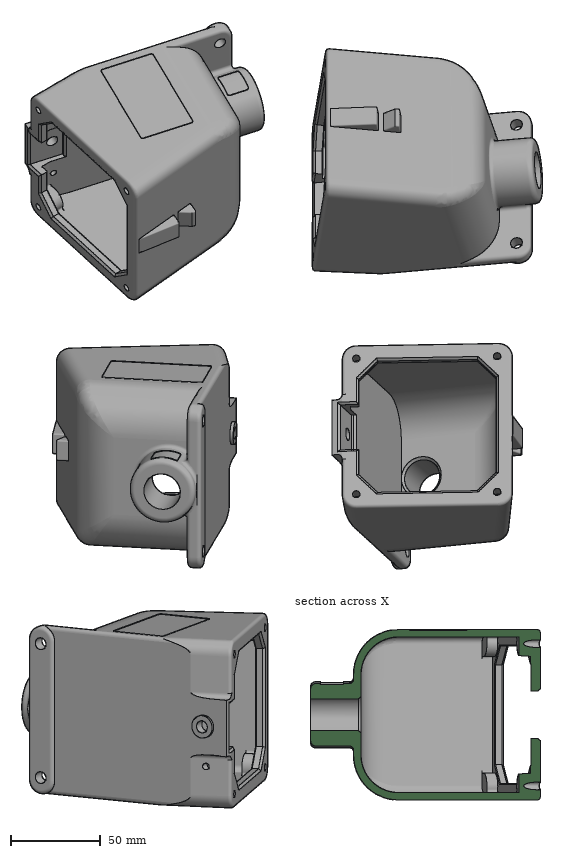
import cadquery as cq
import math


HEIGHT = 95.2
HALF = HEIGHT / 2
TILT = 15
LEAN = 20
BACK_Y = 106.3
FRONT_X = 6.0
ROLL_RADIUS = 25.1
CORNER_RADIUS = 8.0
FRONT_ROUND = 1.8
WALL = 4.3
CAVITY_X = 7.3
BELOW = -13
FAR = 260.6

PLATE_THICK = 6.3
PLATE_START_Y = 6.5
PLATE_END_Y = 123.9
PLATE_ROUND = 2.2
PAD_RAISE = 1.8
PAD_WIDTH = 2 * CORNER_RADIUS
PAD_Y = PLATE_END_Y - CORNER_RADIUS
MOUNT_HOLE_D = 6.6
MOUNT_HOLE_Z = 38.0

COLLAR_X = 19.0
COLLAR_RADIUS = 18.5
COLLAR_END_Y = 130.3
COLLAR_ROUND = 3.0
COLLAR_FOOT = 2.1
PLATE_CORE_HALF = 26
BORE_RADIUS = 10.3
BORE_CHAMFER = 1.4

LIP_THICK = 5.5
LIP_FLARE = 0.5
OPENING_CUT = 10.5
OPENING_CHAMFER = 1.3
OPENING_SIZE = HEIGHT - 2 * CORNER_RADIUS - 2 * OPENING_CHAMFER
SCREW_PITCH = 78.7
SCREW_SPREAD = HEIGHT - 2 * CORNER_RADIUS
SCREW_D = 4.0
SCREW_DEPTH = 10.4
POST_RADIUS = 7.3
POST_END = 11.7
POST_ROOT_FILLET = 1.3

TAB_HALF = 16.0
TAB_FILLET = 2.9
NOTCH_X = 4.5
NOTCH_HALF = 13.2
NOTCH_DEPTH = 20.8
NOTCH_STEP = 1.3
TAB_HOLE_Y = 14.5
TAB_HOLE_D = 6.8
TAB_BOSS_RADIUS = 6.4
DRAIN_D = 3.6
DRAIN_Y = 14.1
DRAIN_Z = -23.2

CATCH_HALF = 5.9
CATCH_TIP_ROUND = 1.2
CATCH_EDGE_ROUND = 0.8
HOOK_OUTLINE = [(82.1, 64.1), (90.8, 64.6), (90.7, 62.0), (87.2, 55.0), (83.4, 55.0)]
LATCH_OUTLINE = [(86, 52.1), (95.0, 52.6), (97.5, 26.7), (93.8, 26.7)]

PANEL_DEPTH = 0.4
PANEL_CORNER = 1.3
LABEL_X = 34.7
LABEL_Y = 59.0
LABEL_WIDTH = 57.1
LABEL_LENGTH = 31.7
BADGE_Y = 118.3
BADGE_WIDTH = 15.1
BADGE_LENGTH = 12.9

TINY = 0.01
UNION_TOLERANCE = 1e-4

sin_tilt = math.sin(math.radians(TILT))
cos_tilt = math.cos(math.radians(TILT))
cos_lean = math.cos(math.radians(LEAN))
tan_lean = math.tan(math.radians(LEAN))
side_x = FRONT_X + HEIGHT * cos_tilt
side_y = HEIGHT * sin_tilt
tab_root_y = FRONT_X * cos_tilt / sin_tilt

front_plane = cq.Plane(
    origin=(FRONT_X, 0, 0), xDir=(cos_tilt, sin_tilt, 0), normal=(sin_tilt, -cos_tilt, 0)
)
along_front_normal = cq.selectors.ParallelDirSelector(front_plane.zDir)


def nearest(x, y, z):
    return cq.selectors.NearestToPointSelector((x, y, z))


def box(x0, x1, y0, y1, half_z):
    """Block that is symmetric about Z = 0."""
    block = cq.Workplane("XY").box(x1 - x0, y1 - y0, 2 * half_z, centered=False)
    return block.translate((x0, y0, -half_z))


def cylinder_along_x(y, z, radius, x0, x1):
    return cq.Workplane("YZ", origin=(x0, y, z)).circle(radius).extrude(x1 - x0)


def collar_cylinder(radius, y0, y1):
    return cq.Workplane("XZ", origin=(COLLAR_X, y0, 0)).circle(radius).extrude(y0 - y1)


def side_line_x(y, inset):
    """X of the sloping side at a given Y, set in by a distance square to it."""
    return side_x - (y - side_y) * tan_lean - inset / cos_lean


def rolled_block(start_x, inset):
    """Housing block set in from the outer faces, with large rounds at the back and rounded long edges."""
    back = BACK_Y - inset
    half = HALF - inset
    plan = (
        cq.Workplane("XY", origin=(0, 0, -half))
        .polyline([
            (start_x, BELOW),
            (side_line_x(BELOW, inset), BELOW),
            (side_line_x(back, inset), back),
            (start_x, back),
        ])
        .close()
        .extrude(2 * half)
        .edges(">Y and |Z and (not <X)").fillet(ROLL_RADIUS - inset)
    )
    profile = box(-FAR, FAR, BELOW, back, half).edges(">Y and |X").fillet(ROLL_RADIUS - inset)
    block = plan.intersect(profile)
    for z in (-half, half):
        block = block.edges(nearest(side_line_x(0, inset), 0, z)).fillet(CORNER_RADIUS - inset)
    return block


def tilted_block(depth, inset):
    """Everything behind the front face and inside the tilted face, whose long edges are rounded."""
    return (
        cq.Workplane(front_plane).workplane(offset=-depth)
        .center(inset + FAR / 2, 0)
        .rect(FAR, 2 * (HALF - inset))
        .extrude(-FAR)
        .edges(along_front_normal).fillet(CORNER_RADIUS - inset)
    )


def mounting_plate():
    return (
        box(0, PLATE_THICK, PLATE_START_Y, PLATE_END_Y, HALF)
        .edges(">Y and |X").fillet(CORNER_RADIUS)
        .faces("<X or >X").edges("not <Y").fillet(PLATE_ROUND)
    )


def mounting_pad():
    """Raised strip across the end of the mounting plate."""
    return (
        cq.Workplane("YZ", origin=(PLATE_THICK / 2, PAD_Y, 0))
        .slot2D(HEIGHT, PAD_WIDTH, 90)
        .extrude(-PLATE_THICK / 2 - PAD_RAISE)
        .faces("<X").edges().fillet(PLATE_ROUND)
    )


def collar():
    return (
        collar_cylinder(COLLAR_RADIUS, BACK_Y - WALL, COLLAR_END_Y)
        .faces(">Y").edges().fillet(COLLAR_ROUND)
    )


def collar_foot_edges(solid):
    """Edges where the collar meets the housing and the mounting plate."""
    picked = []
    for edge in solid.edges().vals():
        spots = [edge.positionAt(share) for share in (0, 0.3, 0.7)]
        on_collar = all(abs(math.hypot(p.x - COLLAR_X, p.z) - COLLAR_RADIUS) < TINY for p in spots)
        at_foot = all(BACK_Y - TINY < p.y < PLATE_END_Y + TINY for p in spots)
        if on_collar and at_foot:
            picked.append(edge)
    return solid.newObject(picked)


def housing_with_collar():
    """Housing and collar with a concave fillet all round the foot of the collar.

    A sharp-fronted core of the mounting plate carries the fillet around the end of the plate.
    """
    plate_core = (
        box(-PLATE_THICK, PLATE_THICK, BACK_Y / 2, PLATE_END_Y, PLATE_CORE_HALF)
        .edges(">X and >Y").fillet(PLATE_ROUND)
    )
    solid = rolled_block(PLATE_THICK / 2, 0).union(plate_core).union(collar())
    solid = collar_foot_edges(solid).fillet(COLLAR_FOOT)
    return solid.intersect(box(PLATE_ROUND - PAD_RAISE, FAR, BELOW, FAR, FAR))


def tab():
    """Flat tab that carries the mounting face on to the front, with fillets down to the tilted face."""
    reach = TAB_HALF + TAB_FILLET
    length = tab_root_y + FRONT_X
    slab = (
        cq.Workplane(front_plane)
        .center((FRONT_ROUND - TAB_FILLET) / 2, 0)
        .rect(FRONT_ROUND + TAB_FILLET, 2 * reach)
        .extrude(-length)
    )
    hollows = (
        cq.Workplane(front_plane)
        .pushPoints([(-TAB_FILLET, -reach), (-TAB_FILLET, reach)])
        .circle(TAB_FILLET).extrude(-length)
    )
    flare = slab.cut(hollows).intersect(box(0, FRONT_X + FRONT_ROUND, 0, tab_root_y, reach))
    return box(0, FRONT_X, 0, tab_root_y, TAB_HALF), flare


def side_catch(outline):
    """Small catch standing on the sloping side, with a rounded tip and rounded long edges."""
    return (
        cq.Workplane("XY", origin=(0, 0, -CATCH_HALF))
        .polyline(outline).close()
        .extrude(2 * CATCH_HALF)
        .edges(nearest(*outline[1], 0)).fillet(CATCH_TIP_ROUND)
        .faces("<Z or >Z").edges().fillet(CATCH_EDGE_ROUND)
    )


def screw_cylinders(radius, depth):
    """Four cylinders square to the front face, one at each corner."""
    return (
        cq.Workplane(front_plane)
        .center(CORNER_RADIUS + SCREW_PITCH / 2, 0)
        .rect(SCREW_PITCH, SCREW_SPREAD, forConstruction=True).vertices()
        .circle(radius).extrude(-depth)
    )


def runs_along_post(edge):
    """True for an edge that follows the flank of a screw post where it meets a wall."""
    start, middle, end = (front_plane.toLocalCoords(edge.positionAt(share)) for share in (0, 0.4, 1))
    on_post = any(
        all(
            abs(math.hypot(p.x - x, abs(p.y) - SCREW_SPREAD / 2) - POST_RADIUS) < TINY
            for p in (start, middle, end)
        )
        for x in (CORNER_RADIUS, CORNER_RADIUS + SCREW_PITCH)
    )
    return on_post and abs(start.z - end.z) > 1.3


def cavity():
    """Inside of the housing behind the lip, leaving the screw posts standing in its corners."""
    space = rolled_block(CAVITY_X, WALL).intersect(tilted_block(LIP_THICK, WALL))
    space = space.cut(screw_cylinders(POST_RADIUS, POST_END))
    roots = [edge for edge in space.edges().vals() if runs_along_post(edge)]
    return space.newObject(roots).fillet(POST_ROOT_FILLET)


def octagon(depth):
    """Outline of the opening, at a depth behind the front face."""
    half = OPENING_SIZE / 2
    flat = half - OPENING_CUT
    points = [
        (-half, -flat), (-flat, -half), (flat, -half), (half, -flat),
        (half, flat), (flat, half), (-flat, half), (-half, flat),
    ]
    return cq.Workplane(front_plane).workplane(offset=-depth).center(HALF, 0).polyline(points).close()


def mouth():
    """Octagonal opening through the lip, flared at its back edge and joined to a notch in the tab."""
    through = octagon(0).extrude(-LIP_THICK - LIP_FLARE)
    flare = octagon(LIP_THICK - LIP_FLARE).extrude(-2 * LIP_FLARE, taper=-45)
    notch = (
        cq.Workplane("XY", origin=(0, 0, -NOTCH_HALF))
        .polyline([
            (NOTCH_X, 0),
            (COLLAR_X, 0),
            (COLLAR_X, NOTCH_DEPTH + NOTCH_STEP),
            (CAVITY_X, NOTCH_DEPTH + NOTCH_STEP),
            (CAVITY_X - NOTCH_STEP, NOTCH_DEPTH),
            (NOTCH_X, NOTCH_DEPTH),
        ])
        .close()
        .extrude(2 * NOTCH_HALF)
    )
    return through.union(flare).union(notch)


def mouth_rim_edges(solid):
    """Edges of the opening in the front face and of the notch in the end of the tab."""
    picked = []
    for edge in solid.edges().vals():
        spot = edge.Center()
        local = front_plane.toLocalCoords(spot)
        on_front = abs(local.z) < TINY
        in_notch = abs(spot.z) < NOTCH_HALF + TINY and TINY < local.x < HEIGHT - CORNER_RADIUS
        in_opening = abs(local.x - HALF) < HALF - CORNER_RADIUS and abs(local.y) < HALF - CORNER_RADIUS
        on_tab_end = abs(spot.y) < TINY and NOTCH_X - TINY < spot.x < FRONT_X - TINY
        if on_front and (in_notch or in_opening):
            picked.append(edge)
        elif on_tab_end and abs(spot.z) < NOTCH_HALF + TINY:
            picked.append(edge)
    return solid.newObject(picked)


def bore():
    """Hole through the collar, chamfered where it enters the cavity."""
    inner_y = BACK_Y - WALL
    rim = (
        cq.Workplane("XZ", origin=(COLLAR_X, inner_y, 0))
        .circle(BORE_RADIUS + BORE_CHAMFER)
        .extrude(-BORE_CHAMFER, taper=45)
    )
    return collar_cylinder(BORE_RADIUS, inner_y - 1.3, COLLAR_END_Y), rim


def panel(x, y, width, length, z0, z1):
    return (
        cq.Workplane("XY", origin=(x, y, z0))
        .rect(width, length).extrude(z1 - z0)
        .edges("|Z").fillet(PANEL_CORNER)
    )


body = housing_with_collar().union(mounting_plate()).union(mounting_pad(), tol=UNION_TOLERANCE)
body = body.intersect(tilted_block(0, 0))
front_center = front_plane.toWorldCoords((HALF, 0, 0))
body = body.faces(nearest(*front_center.toTuple())).edges().fillet(FRONT_ROUND)
for tab_piece in tab():
    body = body.union(tab_piece)
for catch_outline in (HOOK_OUTLINE, LATCH_OUTLINE):
    body = body.union(side_catch(catch_outline))
body = body.union(cylinder_along_x(TAB_HOLE_Y, 0, TAB_BOSS_RADIUS, -PAD_RAISE, PLATE_THICK / 2))

body = body.cut(cavity()).cut(mouth())
body = mouth_rim_edges(body).chamfer(OPENING_CHAMFER)

body = body.cut(screw_cylinders(SCREW_D / 2, SCREW_DEPTH))
for bore_piece in bore():
    body = body.cut(bore_piece)
for hole_z in (-MOUNT_HOLE_Z, MOUNT_HOLE_Z):
    body = body.cut(cylinder_along_x(PAD_Y, hole_z, MOUNT_HOLE_D / 2, -PAD_RAISE, PLATE_THICK))
body = body.cut(cylinder_along_x(TAB_HOLE_Y, 0, TAB_HOLE_D / 2, -PAD_RAISE, COLLAR_X))
body = body.cut(cylinder_along_x(DRAIN_Y, DRAIN_Z, DRAIN_D / 2, 0, COLLAR_X))

body = body.cut(panel(LABEL_X, LABEL_Y, LABEL_WIDTH, LABEL_LENGTH, HALF - PANEL_DEPTH, HALF))
collar_core = collar_cylinder(COLLAR_RADIUS - PANEL_DEPTH, BACK_Y, COLLAR_END_Y)
badge = panel(COLLAR_X, BADGE_Y, BADGE_WIDTH, BADGE_LENGTH, 0, COLLAR_RADIUS)
result = body.cut(badge.cut(collar_core))